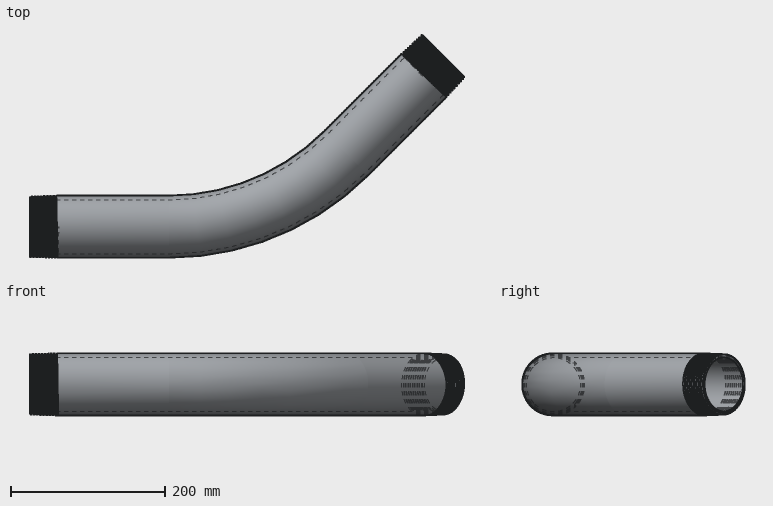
import cadquery as cq
import math

outer_radius = 40.45
bore_radius = 35.0

first_leg_length = 180.6
second_leg_length = 178.2
bend_radius = 325.0
bend_angle = 45.0

thread_length = 36.0
thread_pitch = 4.0
thread_depth = 2.2
thread_root_width = 0.5
thread_flank_half_angle = 30.0
thread_taper = 1.0 / 32.0
end_crest_radius = outer_radius - thread_taper * thread_length

cutter_clearance = 0.5


def thread_groove():
    """Helical cutter with sloping flanks along +Z that follows the taper, starting one pitch before Z = 0."""
    start_radius = end_crest_radius - thread_taper * thread_pitch + cutter_clearance
    cut_depth = thread_depth + cutter_clearance
    half_root = thread_root_width / 2
    half_width = half_root + cut_depth * math.tan(math.radians(thread_flank_half_angle))
    helix = cq.Wire.makeHelix(
        thread_pitch,
        thread_length + thread_pitch,
        start_radius,
        angle=math.degrees(math.atan(thread_taper)),
    )
    groove = (
        cq.Workplane("XZ")
        .moveTo(start_radius, -half_width)
        .lineTo(start_radius - cut_depth, -half_root)
        .lineTo(start_radius - cut_depth, half_root)
        .lineTo(start_radius, half_width)
        .close()
        .sweep(cq.Workplane(helix), isFrenet=True)
    )
    return groove.translate((0, 0, -thread_pitch))


def crest_taper():
    """Ring around +Z that turns the thread crests down to a cone, narrowest at Z = 0."""
    ring_radius = outer_radius + cutter_clearance
    return (
        cq.Workplane("XZ")
        .moveTo(end_crest_radius, -cutter_clearance)
        .lineTo(end_crest_radius, 0)
        .lineTo(outer_radius, thread_length)
        .lineTo(ring_radius, thread_length)
        .lineTo(ring_radius, -cutter_clearance)
        .close()
        .revolve(360, (0, 0), (0, 1))
    )


def threaded_leg(leg_length):
    """Straight tube along +X with its threaded end at the origin."""
    tube = cq.Workplane("XY").circle(outer_radius).circle(bore_radius).extrude(leg_length)
    leg = tube.cut(thread_groove()).cut(crest_taper())
    return leg.rotate((0, 0, 0), (0, 1, 0), 90)


def pipe_bend():
    """Curved tube that starts where the first leg ends."""
    return (
        cq.Workplane("YZ", origin=(first_leg_length, 0, 0))
        .circle(outer_radius)
        .circle(bore_radius)
        .revolve(bend_angle, (bend_radius, 0), (bend_radius, 1))
    )


def second_leg():
    """Threaded leg turned end for end and carried round to the far end of the bend."""
    leg = threaded_leg(second_leg_length).rotate((0, 0, 0), (0, 0, 1), 180)
    leg = leg.translate((first_leg_length + second_leg_length, 0, 0))
    bend_centre = (first_leg_length, bend_radius, 0)
    bend_axis_end = (first_leg_length, bend_radius, 1)
    return leg.rotate(bend_centre, bend_axis_end, bend_angle)


result = pipe_bend().union(threaded_leg(first_leg_length)).union(second_leg())